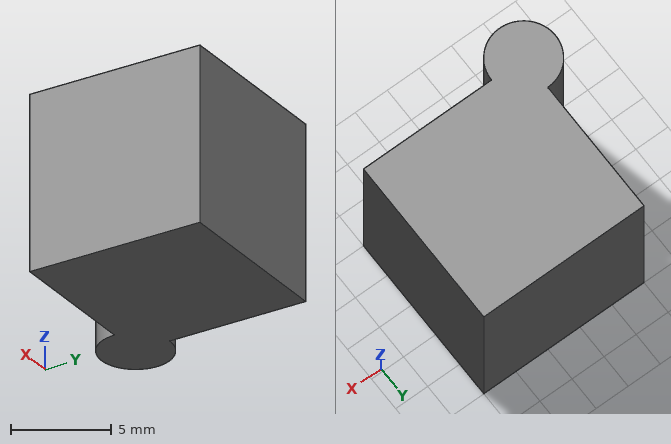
import cadquery as cq

cube_side = 10.0
post_radius = 2.0


def make_cube():
    """Cube with one lower corner at the origin, extending along +X, +Y and +Z."""
    return cq.Workplane("XY").box(cube_side, cube_side, cube_side, centered=False)


def make_corner_post():
    """Full-height round post centred on the cube's vertical edge at the origin."""
    return cq.Workplane("XY").circle(post_radius).extrude(cube_side)


result = make_cube().union(make_corner_post(), clean=False)